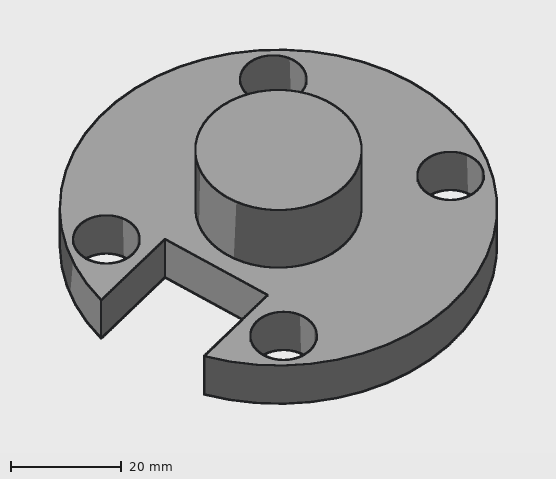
import cadquery as cq

flange_diameter = 78.86
flange_thickness = 10.0

boss_diameter = 30.0
boss_height = 15.0

hole_diameter = 12.0
hole_spacing_x = 40.0
hole_spacing_y = 50.0

notch_width = 23.2
notch_floor_distance = 18.6


def make_flange():
    """Disc with its bottom face on Z = 0."""
    return cq.Workplane("XY").circle(flange_diameter / 2).extrude(flange_thickness)


def make_boss():
    """Cylinder standing on the flange's top face."""
    base = cq.Workplane("XY").workplane(offset=flange_thickness)
    return base.circle(boss_diameter / 2).extrude(boss_height)


def make_holes():
    """Cutters for the four through holes."""
    corners = cq.Workplane("XY").rect(hole_spacing_x, hole_spacing_y, forConstruction=True).vertices()
    return corners.circle(hole_diameter / 2).extrude(flange_thickness)


def make_notch():
    """Cutter running from the notch's inner wall out to the -Y edge of the disc."""
    notch_length = flange_diameter / 2 - notch_floor_distance
    notch_center_y = -(notch_floor_distance + notch_length / 2)
    outline = cq.Workplane("XY").center(0, notch_center_y).rect(notch_width, notch_length)
    return outline.extrude(flange_thickness)


result = make_flange().union(make_boss()).cut(make_holes()).cut(make_notch())